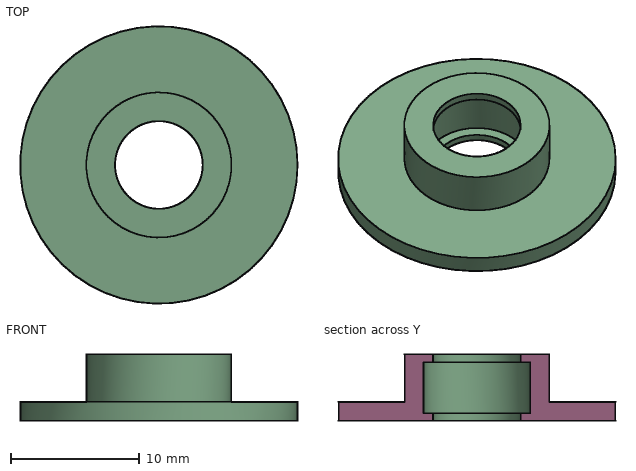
import cadquery as cq

flange_diameter = 21.6
flange_thickness = 1.5
hub_diameter = 11.3
total_height = 5.2
bore_diameter = 6.8
groove_diameter = 8.3
lip_thickness = 0.65
floor_thickness = 0.6

groove_height = total_height - lip_thickness - floor_thickness

flange = cq.Workplane("XY").circle(flange_diameter / 2).extrude(flange_thickness)
hub = cq.Workplane("XY").circle(hub_diameter / 2).extrude(total_height)

bore = cq.Workplane("XY").circle(bore_diameter / 2).extrude(total_height)
groove = (
    cq.Workplane("XY")
    .workplane(offset=floor_thickness)
    .circle(groove_diameter / 2)
    .extrude(groove_height)
)

result = flange.union(hub).cut(bore).cut(groove)